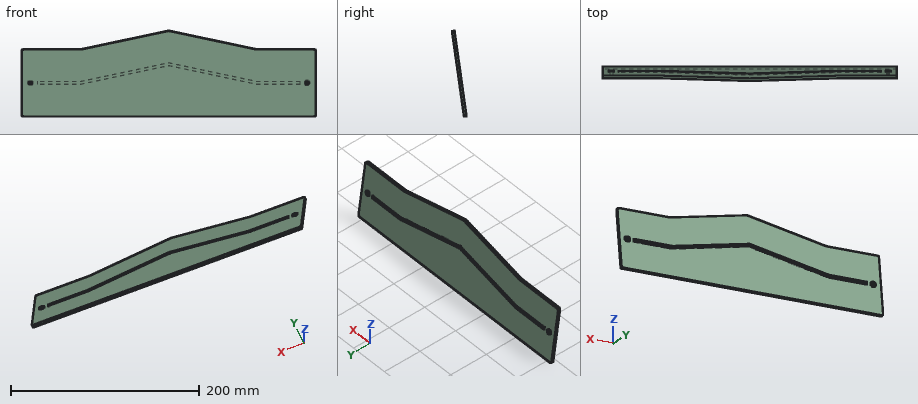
import cadquery as cq

length = 313.0
side_height = 72.0
peak_height = 92.0
thickness = 3.0
lean_angle = 8.0

shoulder_inset = 63.0
corner_radius = 2.0
shoulder_radius = 17.2
peak_radius = 3.0

hole_diameter = 3.0
hole_inset = 9.5
counterbore_diameter = 6.0
counterbore_depth = thickness / 2

groove_inset = 17.0
groove_width = 3.0
groove_depth = thickness / 2

half_length = length / 2
shoulder_x = half_length - shoulder_inset
hole_x = half_length - hole_inset
hole_z = side_height / 2
gable_rise = peak_height - side_height
groove_end_x = half_length - groove_inset


def upright_plate():
    """Gabled plate standing on Z = 0, with its front face on Y = 0."""
    outline = [
        (-half_length, 0),
        (half_length, 0),
        (half_length, side_height),
        (shoulder_x, side_height),
        (0, peak_height),
        (-shoulder_x, side_height),
        (-half_length, side_height),
    ]
    return cq.Workplane("XZ").polyline(outline).close().extrude(-thickness)


def round_edges(plate):
    """Round the end corners, the gable peak and the two shoulders."""
    plate = plate.faces("<X or >X").edges("|Y").fillet(corner_radius)
    for x, z, radius in (
        (-shoulder_x, side_height, shoulder_radius),
        (shoulder_x, side_height, shoulder_radius),
        (0, peak_height, peak_radius),
    ):
        corner = cq.selectors.NearestToPointSelector((x, thickness / 2, z))
        plate = plate.edges("|Y").edges(corner).fillet(radius)
    return plate


def back_plane():
    """Sketch plane on the back face, whose normal points toward -Y."""
    return cq.Workplane("XZ", origin=(0, thickness, 0))


def drill_holes(plate):
    """Drill the through holes and counterbore them from the back."""
    centers = back_plane().pushPoints([(-hole_x, hole_z), (hole_x, hole_z)])
    holes = centers.circle(hole_diameter / 2).extrude(thickness)
    counterbores = centers.circle(counterbore_diameter / 2).extrude(counterbore_depth)
    return plate.cut(holes).cut(counterbores)


def cut_groove(plate):
    """Cut the groove that follows the gable across the back face."""
    centerline = [
        (-groove_end_x, 0),
        (-shoulder_x, 0),
        (0, gable_rise),
        (shoulder_x, 0),
        (groove_end_x, 0),
    ]
    upper_side = [(x, hole_z + z + groove_width / 2) for x, z in centerline]
    lower_side = [(x, hole_z + z - groove_width / 2) for x, z in reversed(centerline)]
    groove = back_plane().polyline(upper_side + lower_side).close().extrude(groove_depth)
    return plate.cut(groove)


plate = round_edges(upright_plate())
plate = drill_holes(plate)
plate = cut_groove(plate)

result = plate.rotate((0, 0, 0), (1, 0, 0), lean_angle)